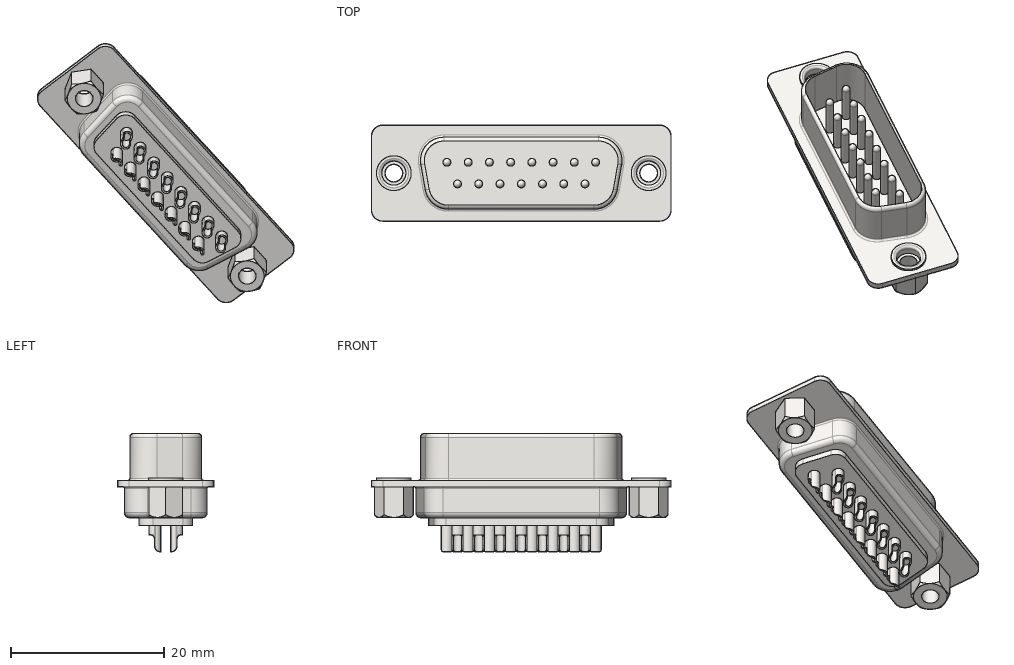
import cadquery as cq
import math


OVERALL_HEIGHT = 15.5

FLANGE_LENGTH = 39.15
FLANGE_WIDTH = 12.55
FLANGE_THICKNESS = 0.85
FLANGE_CORNER_RADIUS = 1.5

SIDE_SLOPE_ANGLE = 10.0
SHELL_HALF_LENGTH = 12.9
SHELL_HALF_WIDTH = 4.7
SHELL_CORNER_RADIUS = 3.05
SHELL_TOP = 7.0
SHELL_WALL = 0.5
SHELL_LIP_RADIUS = 0.55
SHELL_FLARE_RADIUS = 0.27
SHELL_FLOOR = 0.0

BACK_HALF_LENGTH = 13.3
BACK_HALF_WIDTH = 5.4
BACK_CORNER_RADIUS = 2.55
BACK_DEPTH = 4.05
BACK_EDGE_RADIUS = 0.7
BACK_FLARE_RADIUS = 0.2

INSULATOR_HALF_LENGTH = 11.8
INSULATOR_HALF_WIDTH = 3.52
INSULATOR_CORNER_RADIUS = 1.55
INSULATOR_DEPTH = 5.05

LONG_ROW_COUNT = 8
SHORT_ROW_COUNT = LONG_ROW_COUNT - 1
LONG_ROW_SPAN = 19.4
CONTACT_PITCH = LONG_ROW_SPAN / (LONG_ROW_COUNT - 1)
ROW_OFFSET = 1.4
PIN_RADIUS = 0.5
PIN_TIP = 6.0

CUP_WIDTH = 1.5
CUP_THICKNESS = 1.55
CUP_HOLE_RADIUS = 0.55
CUP_END = OVERALL_HEIGHT - SHELL_TOP
CUP_SHELF_DEPTH = 6.25
CUP_SHELF_RADIUS = 0.5
CUP_RIM_OFFSET = 0.08
CUP_END_RADIUS = CUP_THICKNESS / 2 + CUP_RIM_OFFSET

STANDOFF_SPACING = 33.25
HEX_ACROSS_CORNERS = 5.1
HEX_DEPTH = 4.0
HEX_CHAMFER = 0.35
COLLAR_RADIUS = 2.27
COLLAR_HEIGHT = 0.3
COLLAR_TOP = FLANGE_THICKNESS + COLLAR_HEIGHT
BORE_RADIUS = 1.55
BORE_MOUTH_RADIUS = 0.35
BORE_DEPTH = 1.3
THROUGH_HOLE_RADIUS = 1.15


def d_body(half_length, half_width, corner_radius, bottom, top):
    """Prism with the D-sub outline: a rounded trapezoid, wider on the +Y side."""
    slope = half_width * math.tan(math.radians(SIDE_SLOPE_ANGLE))
    wide = half_length + slope
    narrow = half_length - slope
    corners = [(-wide, half_width), (wide, half_width), (narrow, -half_width), (-narrow, -half_width)]
    prism = cq.Workplane("XY", origin=(0, 0, bottom)).polyline(corners).close().extrude(top - bottom)
    return prism.edges("|Z").fillet(corner_radius)


def cylinder(x, y, radius, bottom, top):
    """Vertical cylinder between two heights."""
    return cq.Workplane("XY", origin=(x, y, bottom)).circle(radius).extrude(top - bottom)


def make_flange():
    """Rectangular mounting plate with rounded corners."""
    plate = cq.Workplane("XY").rect(FLANGE_LENGTH, FLANGE_WIDTH).extrude(FLANGE_THICKNESS)
    return plate.edges("|Z").fillet(FLANGE_CORNER_RADIUS)


def flare(body, height, radius):
    """Fillet the D-shaped root edges that lie on a flange face."""
    half_length = (BACK_HALF_LENGTH + FLANGE_LENGTH / 2) / 2
    half_width = (BACK_HALF_WIDTH + FLANGE_WIDTH / 2) / 2
    half_height = FLANGE_THICKNESS / 4
    root = cq.selectors.BoxSelector(
        (-half_length, -half_width, height - half_height), (half_length, half_width, height + half_height)
    )
    return body.edges(root).fillet(radius)


def make_body():
    """Flange with the front shell, the rear housing and the insulator, all solid."""
    shell = d_body(SHELL_HALF_LENGTH, SHELL_HALF_WIDTH, SHELL_CORNER_RADIUS, FLANGE_THICKNESS, SHELL_TOP)
    shell = shell.faces(">Z").edges().fillet(SHELL_LIP_RADIUS)
    back = d_body(BACK_HALF_LENGTH, BACK_HALF_WIDTH, BACK_CORNER_RADIUS, -BACK_DEPTH, 0)
    back = back.faces("<Z").edges().fillet(BACK_EDGE_RADIUS)
    body = make_flange().union(shell).union(back)

    body = flare(body, FLANGE_THICKNESS, SHELL_FLARE_RADIUS)
    body = flare(body, 0, BACK_FLARE_RADIUS)

    insulator = d_body(
        INSULATOR_HALF_LENGTH, INSULATOR_HALF_WIDTH, INSULATOR_CORNER_RADIUS, -INSULATOR_DEPTH, 0
    )
    return body.union(insulator)


def make_shell_cavity():
    """Inside of the front shell, one wall thickness in from its outline, down through the flange."""
    return d_body(
        SHELL_HALF_LENGTH - SHELL_WALL / math.cos(math.radians(SIDE_SLOPE_ANGLE)),
        SHELL_HALF_WIDTH - SHELL_WALL,
        SHELL_CORNER_RADIUS - SHELL_WALL,
        SHELL_FLOOR,
        SHELL_TOP,
    )


def make_pin(x, y):
    """Round contact pin with a domed tip, standing on the shell floor."""
    dome_center = PIN_TIP - PIN_RADIUS
    dome = cq.Workplane("XY", origin=(x, y, dome_center)).sphere(PIN_RADIUS)
    return cylinder(x, y, PIN_RADIUS, SHELL_FLOOR, dome_center).union(dome)


def make_cup(x, side):
    """Solder cup whose open half faces away from the middle; side is +1 or -1 along Y."""
    post = cq.Workplane("XY", origin=(0, 0, -CUP_END)).slot2D(CUP_THICKNESS, CUP_WIDTH, 90)
    cup = post.extrude(CUP_END - BACK_DEPTH)
    cup = cup.cut(cylinder(0, 0, CUP_HOLE_RADIUS, -CUP_END, -CUP_SHELF_DEPTH))

    half_thickness = CUP_THICKNESS / 2
    diagonal = math.sqrt(0.5)
    shelf_y = CUP_RIM_OFFSET + CUP_SHELF_RADIUS
    shelf_z = -CUP_SHELF_DEPTH - CUP_SHELF_RADIUS
    end_y = CUP_RIM_OFFSET - CUP_END_RADIUS
    end_z = -CUP_END + CUP_END_RADIUS
    profile = (
        cq.Workplane("YZ", origin=(-CUP_WIDTH / 2, 0, 0))
        .moveTo(-half_thickness, -BACK_DEPTH)
        .lineTo(half_thickness, -BACK_DEPTH)
        .lineTo(half_thickness, -CUP_SHELF_DEPTH)
        .lineTo(shelf_y, -CUP_SHELF_DEPTH)
        .threePointArc(
            (shelf_y - CUP_SHELF_RADIUS * diagonal, shelf_z + CUP_SHELF_RADIUS * diagonal),
            (CUP_RIM_OFFSET, shelf_z),
        )
        .lineTo(CUP_RIM_OFFSET, end_z)
        .threePointArc(
            (end_y + CUP_END_RADIUS * diagonal, end_z - CUP_END_RADIUS * diagonal),
            (end_y, -CUP_END),
        )
        .close()
        .extrude(CUP_WIDTH)
    )
    cup = cup.intersect(profile)
    if side < 0:
        cup = cup.mirror("XZ")
    return cup.translate((x, side * ROW_OFFSET, 0))


def make_standoff(x):
    """Hexagonal standoff with a chamfered lower end, and the rivet collar on the flange."""
    hexagon = cq.Workplane("XY", origin=(x, 0, -HEX_DEPTH)).polygon(6, HEX_ACROSS_CORNERS).extrude(HEX_DEPTH)
    envelope = cylinder(x, 0, HEX_ACROSS_CORNERS / 2, -HEX_DEPTH, 0).faces("<Z").chamfer(HEX_CHAMFER)
    collar = cylinder(x, 0, COLLAR_RADIUS, 0, COLLAR_TOP)
    return hexagon.intersect(envelope).union(collar)


def make_standoff_bore(x):
    """Stepped hole with a rounded mouth, revolved about the standoff axis."""
    step = COLLAR_TOP - BORE_DEPTH
    mouth_radius = BORE_RADIUS + BORE_MOUTH_RADIUS
    inset = BORE_MOUTH_RADIUS * (1 - math.sqrt(0.5))
    return (
        cq.Workplane("XZ", origin=(x, 0, 0))
        .moveTo(0, -HEX_DEPTH)
        .lineTo(THROUGH_HOLE_RADIUS, -HEX_DEPTH)
        .lineTo(THROUGH_HOLE_RADIUS, step)
        .lineTo(BORE_RADIUS, step)
        .lineTo(BORE_RADIUS, COLLAR_TOP - BORE_MOUTH_RADIUS)
        .threePointArc((BORE_RADIUS + inset, COLLAR_TOP - inset), (mouth_radius, COLLAR_TOP))
        .lineTo(0, COLLAR_TOP)
        .close()
        .revolve(360, (0, 0, 0), (0, 1, 0))
    )


result = make_body().cut(make_shell_cavity())

for side, count in ((1, LONG_ROW_COUNT), (-1, SHORT_ROW_COUNT)):
    for index in range(count):
        contact_x = (index - (count - 1) / 2) * CONTACT_PITCH
        result = result.union(make_pin(contact_x, side * ROW_OFFSET))
        result = result.union(make_cup(contact_x, side))

for standoff_x in (-STANDOFF_SPACING / 2, STANDOFF_SPACING / 2):
    result = result.union(make_standoff(standoff_x))
    result = result.cut(make_standoff_bore(standoff_x))